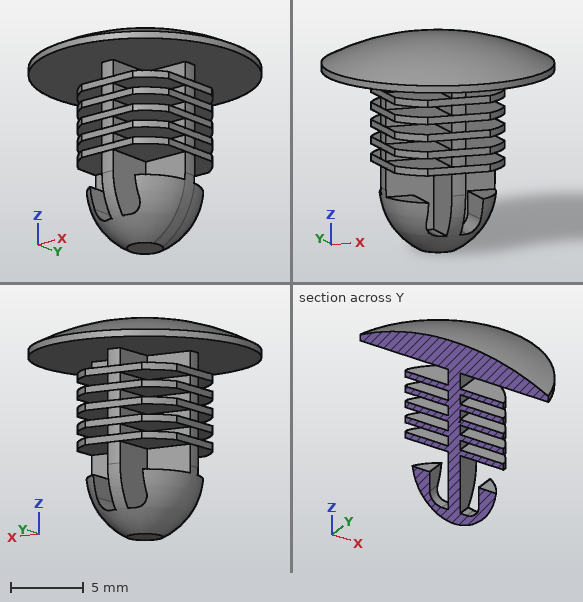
import cadquery as cq
import math


head_radius = 8.0
rim_height = 0.5
crown_height = 2.0

stem_radius = 4.03
stem_width = 2 * stem_radius
stem_length = 12.51
rib_thickness = 1.0

fin_count = 5
fin_pitch = 1.2
fin_thickness = 0.5
fin_corner_radius = 4.64

straight_length = 8.0
nose_top_depth = 8.51
tip_radius = 1.25

slot_width = 4.0
slot_floor_depth = 11.0
slot_corner_radius = 1.0


def make_head():
    """Flat rim with a spherical crown."""
    sphere_radius = (head_radius**2 + crown_height**2) / (2 * crown_height)
    head_top = rim_height + crown_height
    half_angle = math.asin(head_radius / sphere_radius) / 2
    arc_middle = (
        sphere_radius * math.sin(half_angle),
        head_top - sphere_radius * (1 - math.cos(half_angle)),
    )
    return (
        cq.Workplane("XZ")
        .lineTo(head_radius, 0)
        .lineTo(head_radius, rim_height)
        .threePointArc(arc_middle, (0, head_top))
        .close()
        .revolve(360, (0, 0), (0, 1))
    )


def make_stem_envelope():
    """Round stem whose end tapers along an arc tangent to its straight side."""
    taper_length = stem_length - straight_length
    inset = stem_radius - tip_radius
    arc_radius = (taper_length**2 + inset**2) / (2 * inset)
    half_angle = math.asin(taper_length / arc_radius) / 2
    arc_middle = (
        stem_radius - arc_radius * (1 - math.cos(half_angle)),
        -straight_length - arc_radius * math.sin(half_angle),
    )
    return (
        cq.Workplane("XZ")
        .lineTo(stem_radius, 0)
        .lineTo(stem_radius, -straight_length)
        .threePointArc(arc_middle, (tip_radius, -stem_length))
        .lineTo(0, -stem_length)
        .close()
        .revolve(360, (0, 0), (0, 1))
    )


def box_below(size_x, size_y, top_depth, bottom_depth):
    """Box centred on the axis between two depths under the head."""
    return (
        cq.Workplane("XY")
        .workplane(offset=-bottom_depth)
        .rect(size_x, size_y)
        .extrude(bottom_depth - top_depth)
    )


def make_ribs(envelope):
    """Two crossed ribs, rounded off by the stem envelope."""
    rib_along_x = box_below(stem_width, rib_thickness, 0, stem_length)
    rib_along_y = box_below(rib_thickness, stem_width, 0, stem_length)
    return rib_along_x.union(rib_along_y).intersect(envelope)


def make_nose(envelope):
    """Solid end of the stem, slotted along Y."""
    nose = envelope.intersect(box_below(stem_width, stem_width, nose_top_depth, stem_length))
    slot = box_below(slot_width, stem_width, nose_top_depth, slot_floor_depth)
    slot = slot.edges("|Y and <Z").fillet(slot_corner_radius)
    return nose.cut(slot)


def make_fin(top_depth):
    """Square plate with its corners rounded about the stem axis."""
    bottom_depth = top_depth + fin_thickness
    disc = (
        cq.Workplane("XY")
        .workplane(offset=-bottom_depth)
        .circle(fin_corner_radius)
        .extrude(fin_thickness)
    )
    return box_below(stem_width, stem_width, top_depth, bottom_depth).intersect(disc)


stem_envelope = make_stem_envelope()
result = make_head().union(make_ribs(stem_envelope)).union(make_nose(stem_envelope))
for fin_number in range(1, fin_count + 1):
    result = result.union(make_fin(fin_number * fin_pitch))